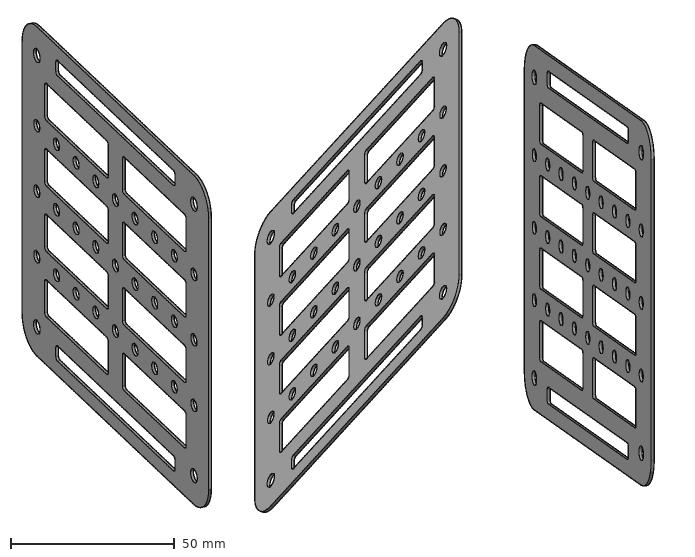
import cadquery as cq

plate_width = 127.0
plate_height = 114.3
plate_thickness = 1.0
corner_radius = 10.0

corner_hole_diameter = 4.5
row_hole_diameter = 4.0
holes_per_row = 9
hole_row_count = 3
row_pitch = 22.7

window_width = 43.2
window_height = 12.8
window_radius = 1.0
window_spacing = 53.0
window_column_count = 2
window_row_count = hole_row_count + 1

slot_length = 81.0
slot_height = 5.2
slot_radius = 1.0
slot_offset = 49.5

corner_hole_span_x = plate_width - 2 * corner_radius
corner_hole_span_z = plate_height - 2 * corner_radius
column_pitch = corner_hole_span_x / (holes_per_row - 1)


def rounded_bar(width, height, radius):
    """Rectangular block through the plate thickness, with rounded corners."""
    return cq.Workplane("XY").box(width, plate_thickness, height).edges("|Y").fillet(radius)


def grid_points(column_spacing, row_spacing, columns, rows):
    """Centres of a rectangular grid placed about the origin."""
    return [
        ((i - (columns - 1) / 2) * column_spacing, (j - (rows - 1) / 2) * row_spacing)
        for i in range(columns)
        for j in range(rows)
    ]


def cut_holes(body, points, diameter):
    """Drill round holes through the plate at the given (x, z) points."""
    return body.faces("<Y").workplane(origin=(0, 0, 0)).pushPoints(points).hole(diameter)


def cut_openings(body, points, opening):
    """Cut a copy of the opening at each of the given (x, z) points."""
    for x, z in points:
        body = body.cut(opening.translate((x, 0, z)))
    return body


plate = rounded_bar(plate_width, plate_height, corner_radius)

corner_points = grid_points(corner_hole_span_x, corner_hole_span_z, 2, 2)
row_points = grid_points(column_pitch, row_pitch, holes_per_row, hole_row_count)
plate = cut_holes(plate, corner_points, corner_hole_diameter)
plate = cut_holes(plate, row_points, row_hole_diameter)

window = rounded_bar(window_width, window_height, window_radius)
window_points = grid_points(window_spacing, row_pitch, window_column_count, window_row_count)
plate = cut_openings(plate, window_points, window)

slot = rounded_bar(slot_length, slot_height, slot_radius)
plate = cut_openings(plate, [(0, -slot_offset), (0, slot_offset)], slot)

result = plate